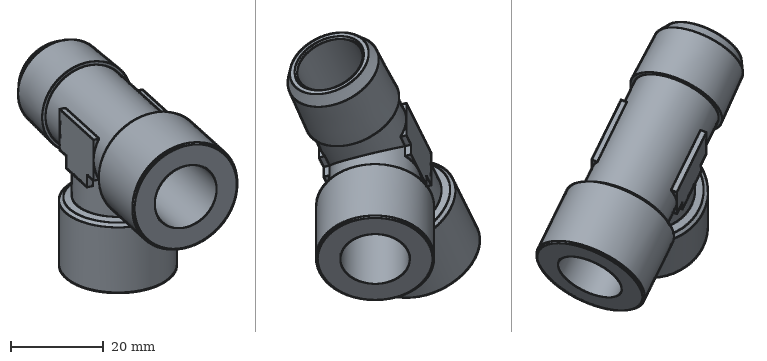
import cadquery as cq


pipe_radius = 20.0 / 2
bore_radius = 7.5

run_length = 61.5
collar_reach = 32.05
spigot_reach = run_length - collar_reach

collar_radius = 25.5 / 2
collar_length = 17.35
collar_shoulder_radius = 11.8
collar_shoulder_setback = 0.4
collar_edge_setback = 1.1
collar_end_chamfer = 0.35

spigot_length = 14.7
spigot_tip_radius = 9.05
spigot_nose_length = 2.5
spigot_nose_radius = 10.45
spigot_barb_radius = 10.8
bore_mouth_chamfer = 0.4

pad_width = 16.0
pad_span = 20.05
pad_height = 9.95
pad_tab_width = 9.95
pad_tab_bottom = -8.0


def revolved_about_x(points):
    """Revolve a closed (x, radius) outline about the X axis."""
    outline = cq.Workplane("XY").polyline(points).close()
    return outline.revolve(360, (0, 0, 0), (1, 0, 0))


def collar_profile():
    """Points (axial, radius) of the collar, from its root to its open end."""
    collar_start = collar_reach - collar_length
    return [
        (collar_start, pipe_radius),
        (collar_start + collar_shoulder_setback, collar_shoulder_radius),
        (collar_start + collar_edge_setback, collar_radius),
        (collar_reach - collar_end_chamfer, collar_radius),
        (collar_reach, collar_radius - collar_end_chamfer),
        (collar_reach, 0),
    ]


def run_body():
    """Straight run: tapered barb spigot, pipe and shouldered collar."""
    barb_end = spigot_length - spigot_reach
    spigot_profile = [
        (-spigot_reach, 0),
        (-spigot_reach, spigot_tip_radius),
        (spigot_nose_length - spigot_reach, spigot_nose_radius),
        (barb_end, spigot_barb_radius),
        (barb_end, pipe_radius),
    ]
    return revolved_about_x(spigot_profile + collar_profile())


def branch_body():
    """Branch pipe from the crossing down to its collar."""
    along_x = revolved_about_x([(0, 0), (0, pipe_radius)] + collar_profile())
    return along_x.rotate((0, 0, 0), (0, 1, 0), 90)


def side_pads():
    """T-shaped block whose two outer Y faces form the flat pads."""
    tab_height = -pad_tab_bottom
    plate = cq.Workplane("XY").box(pad_width, pad_span, pad_height)
    tab = cq.Workplane("XY").box(pad_tab_width, pad_span, tab_height)
    return plate.union(tab.translate((0, 0, -tab_height / 2)))


def run_bore():
    """Through bore of the run, chamfered at the spigot mouth."""
    mouth_radius = bore_radius + bore_mouth_chamfer
    return revolved_about_x([
        (-spigot_reach, 0),
        (-spigot_reach, mouth_radius),
        (bore_mouth_chamfer - spigot_reach, bore_radius),
        (collar_reach, bore_radius),
        (collar_reach, 0),
    ])


def branch_bore():
    """Bore of the branch, from the crossing to its open end."""
    return cq.Workplane("XY").circle(bore_radius).extrude(-collar_reach)


body = run_body().union(branch_body()).union(side_pads())
result = body.cut(run_bore()).cut(branch_bore())